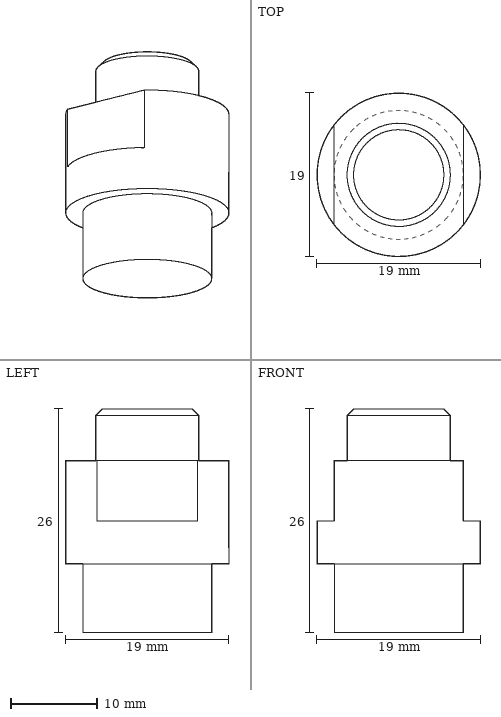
import cadquery as cq

shank_diameter = 15.0
shank_height = 8.0

collar_diameter = 19.0
collar_height = 12.0
across_flats = 15.0
flat_height = 7.0

pin_diameter = 12.0
pin_height = 6.0
pin_chamfer = 0.75

collar_top = shank_height + collar_height


def cylinder(diameter, height, base_z):
    """Vertical cylinder on the Z axis, standing on base_z."""
    return cq.Workplane("XY").workplane(offset=base_z).circle(diameter / 2).extrude(height)


def make_collar():
    """Round collar whose upper part is cut to two flats facing -X and +X."""
    collar = cylinder(collar_diameter, collar_height, shank_height)
    flat_depth = (collar_diameter - across_flats) / 2
    flat_center_x = (across_flats + flat_depth) / 2
    for side in (-1, 1):
        flat_cut = (
            cq.Workplane("XY")
            .workplane(offset=collar_top - flat_height)
            .center(side * flat_center_x, 0)
            .rect(flat_depth, collar_diameter)
            .extrude(flat_height)
        )
        collar = collar.cut(flat_cut)
    return collar


def make_pin():
    """Pin on top of the collar, with a chamfered upper rim."""
    pin = cylinder(pin_diameter, pin_height, collar_top)
    return pin.faces(">Z").edges().chamfer(pin_chamfer)


shank = cylinder(shank_diameter, shank_height, 0)
result = shank.union(make_collar()).union(make_pin())